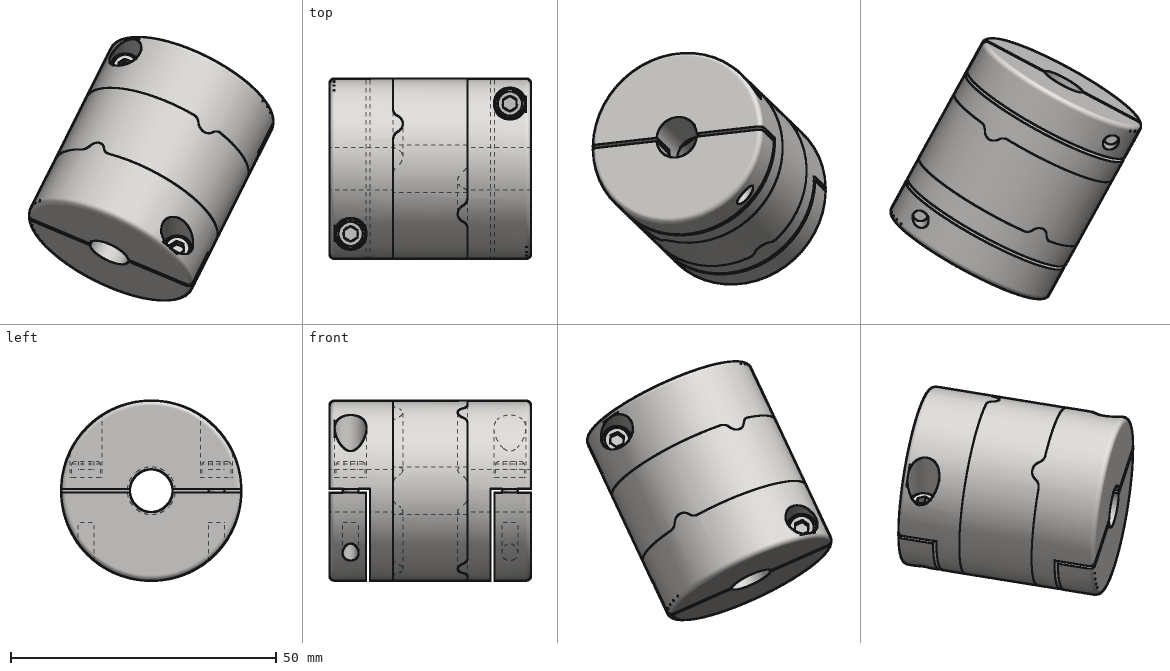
import cadquery as cq
import math


length = 38.0
outer_dia = 34.0
outer_radius = outer_dia / 2
hub_length = 12.0
element_length = length - 2 * hub_length
hub_bore_dia = 8.0
element_bore_dia = 9.0
end_fillet = 1.0

split_gap = 0.7
cap_length = 6.9

screw_inset = 4.0
screw_offset = 12.27
shank_dia = 3.0
head_dia = 5.5
head_chamfer = 0.45
head_height = 3.0
head_top = 5.5
counterbore_dia = 6.0
hex_flats = 2.5
hex_depth = 1.5
screw_tip = -6.0

tooth_tilts = (30.0, 150.0)
tooth_height = 1.82
tooth_tip_radius = 2.0
tooth_root_radius = 1.75

end_x = -length / 2
joint_x = end_x + hub_length
screw_x = end_x + screw_inset


def tube(start_x, tube_length, bore_dia):
    """Round tube of the full outer diameter along X."""
    ring = cq.Workplane("YZ", origin=(start_x, 0, 0)).circle(outer_radius).circle(bore_dia / 2)
    return ring.extrude(tube_length)


def half_turn(body, turns=1):
    """Turn a body about Z by a number of half turns, which carries one hub end onto the other."""
    return body.rotate((0, 0, 0), (0, 0, 1), 180 * turns)


def tooth(tilt):
    """Radial key tooth: a round tip that flows through root fillets into the hub face."""
    tip_center = tooth_height - tooth_tip_radius
    reach = tooth_tip_radius + tooth_root_radius
    half_width = math.sqrt(reach**2 - (tooth_root_radius - tip_center) ** 2)
    blend = tooth_tip_radius / reach
    blend_side = half_width * blend
    blend_height = tip_center + (tooth_root_radius - tip_center) * blend
    root_angle = math.acos((tooth_root_radius - blend_height) / tooth_root_radius) / 2
    root_side = half_width - tooth_root_radius * math.sin(root_angle)
    root_height = tooth_root_radius * (1 - math.cos(root_angle))
    bar = (
        cq.Workplane("XY", origin=(joint_x, 0, 0))
        .moveTo(0, -half_width)
        .threePointArc((root_height, -root_side), (blend_height, -blend_side))
        .threePointArc((tooth_height, 0), (blend_height, blend_side))
        .threePointArc((root_height, root_side), (0, half_width))
        .close()
        .extrude(outer_dia)
        .rotate((0, 0, 0), (1, 0, 0), -tilt)
    )
    return bar.intersect(tube(joint_x, tooth_height, element_bore_dia))


def cut_split(hub):
    """Cut the flat split and the cross slot that free the lower clamp cap."""
    flat_length = cap_length + split_gap
    flat = cq.Workplane("XY").box(flat_length, outer_dia, split_gap, centered=(False, True, True))
    cross = cq.Workplane("XY").box(split_gap, outer_dia, outer_dia, centered=(False, True, False))
    cross = cross.translate((cap_length, 0, split_gap / 2 - outer_dia))
    return hub.cut(flat.union(cross).translate((end_x, 0, 0)))


def screw_cylinder(dia, bottom, top):
    """Cylinder on the screw axis between two heights."""
    base = cq.Workplane("XY", origin=(screw_x, -screw_offset, bottom))
    return base.circle(dia / 2).extrude(top - bottom)


def clamp_screw():
    """Socket head cap screw."""
    seat = head_top - head_height
    head = screw_cylinder(head_dia, seat, head_top).faces(">Z").chamfer(head_chamfer)
    socket = (
        cq.Workplane("XY", origin=(screw_x, -screw_offset, head_top))
        .polygon(6, hex_flats, circumscribed=True)
        .extrude(-hex_depth)
    )
    return head.cut(socket).union(screw_cylinder(shank_dia, screw_tip, seat))


def clamp_hub():
    """Left hub, whose screw holds the cap across the split so that all is one solid."""
    hub = tube(end_x, hub_length, hub_bore_dia)
    hub = hub.faces("<X").edges(cq.selectors.RadiusNthSelector(-1)).fillet(end_fillet)
    hub = cut_split(hub)
    hub = hub.cut(screw_cylinder(counterbore_dia, head_top - head_height, outer_radius))
    hub = hub.cut(screw_cylinder(shank_dia, -outer_radius, 0))
    for tilt in tooth_tilts:
        hub = hub.union(tooth(tilt))
    return hub.union(clamp_screw()).solids()


def middle_element():
    """Tube between the hubs with grooves that match the teeth of both."""
    element = tube(joint_x, element_length, element_bore_dia)
    for tilt in tooth_tilts:
        groove = tooth(tilt)
        element = element.cut(groove).cut(half_turn(groove))
    return element.solids()


hubs = [half_turn(clamp_hub(), turns) for turns in range(2)]
element = middle_element()

result = cq.Compound.makeCompound([*[hub.val() for hub in hubs], element.val()])